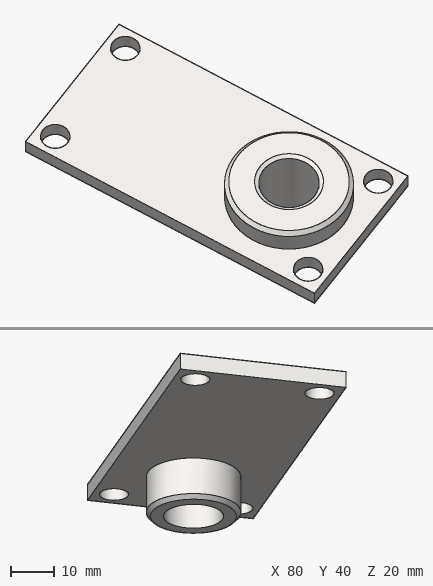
import cadquery as cq

plate_length = 80.0
plate_width = 40.0
plate_thickness = 4.0
screw_hole_diameter = 6.8
screw_spacing_x = 70.0
screw_spacing_y = 30.0

bushing_x = plate_length / 4
flange_diameter = 30.0
flange_height = 6.0
sleeve_diameter = 22.0
sleeve_projection = 10.0
bore_diameter = 14.0
bore_mouth_diameter = 16.0
mouth_depth = 0.6
edge_chamfer = (bore_mouth_diameter - bore_diameter) / 2

flange_bottom = plate_thickness
sleeve_length = sleeve_projection + plate_thickness


def make_plate():
    """Rectangular plate with four corner holes and a bore for the bushing; underside at Z = 0."""
    plate = cq.Workplane("XY").box(
        plate_length, plate_width, plate_thickness, centered=(True, True, False)
    )
    screw_holes = (
        cq.Workplane("XY")
        .rect(screw_spacing_x, screw_spacing_y, forConstruction=True)
        .vertices()
        .circle(screw_hole_diameter / 2)
        .extrude(plate_thickness)
    )
    bushing_bore = (
        cq.Workplane("XY")
        .center(bushing_x, 0)
        .circle(sleeve_diameter / 2)
        .extrude(plate_thickness)
    )
    return plate.cut(screw_holes).cut(bushing_bore)


def make_bushing():
    """Bushing whose flange rests on the plate and whose sleeve passes through it."""
    base = cq.Workplane("XY", origin=(bushing_x, 0, flange_bottom))
    sleeve = base.circle(sleeve_diameter / 2).extrude(-sleeve_length)
    sleeve = sleeve.faces("<Z").edges().chamfer(edge_chamfer)
    flange = base.circle(flange_diameter / 2).extrude(flange_height)
    flange = flange.faces(">Z").edges().chamfer(edge_chamfer)
    bushing = flange.union(sleeve)

    bushing = bushing.faces(">Z").workplane().hole(bore_diameter)
    mouth = cq.Solid.makeCone(
        bore_mouth_diameter / 2,
        bore_diameter / 2,
        mouth_depth,
        pnt=cq.Vector(bushing_x, 0, flange_bottom + flange_height),
        dir=cq.Vector(0, 0, -1),
    )
    return bushing.cut(cq.Workplane(obj=mouth))


plate = make_plate()
bushing = make_bushing()

result = cq.Compound.makeCompound([plate.val(), bushing.val()])